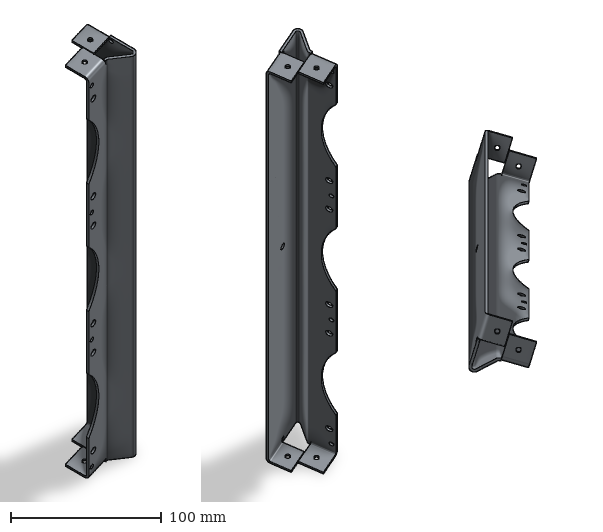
import cadquery as cq
import math

width = 41.0
depth = 38.5
length = 431.5
sheet = 2.0
inner_bend = 1.7
outer_bend = inner_bend + sheet

side_outer_x = 28.5
side_inner_x = side_outer_x - sheet

back_flange_width = 18.0
back_flange_front_y = 19.5
side_flange_left_x = 9.0
side_flange_width = 19.0
bend_height = 2 * outer_bend

flange_hole_diameter = 3.5
back_flange_hole = (9.5, 27.0)
side_flange_hole = (17.5, 10.0)
relief_diameter = 3.32
relief_end_distance = 3.5
back_hole_diameter = 4.7
back_hole_x = 19.5
mount_hole_diameter = 5.0
mount_hole_y = 5.0
mount_hole_offset = 52.5
small_hole_diameter = 3.5
small_hole_y = 3.5
small_hole_pitch = 137.0

scallop_pitch = 137.0
scallop_chord = 69.0
scallop_depth = 11.2


def block(x0, x1, y0, y1, z0, z1):
    """Axis-aligned box between two opposite corners."""
    return cq.Workplane("XY").box(x1 - x0, y1 - y0, z1 - z0, centered=False).translate((x0, y0, z0))


def x_cutter(y, z, diameter):
    """Cylinder along X that passes through the side wall."""
    return cq.Workplane("YZ").center(y, z).circle(diameter / 2).extrude(width)


def back_wall_cutter(x, z, diameter):
    """Cylinder along Y that passes through the back wall only."""
    plane = cq.Workplane("XZ", origin=(0, depth, 0))
    return plane.center(x, z).circle(diameter / 2).extrude(2 * sheet)


def folded_channel():
    """Back wall, 45 degree web and side wall, with rounded bends."""
    web_outer = width - depth + outer_bend * math.sqrt(2)
    web_inner = web_outer - sheet * math.sqrt(2)
    back_inner_y = depth - sheet
    outer_apex = (depth + web_outer, depth)
    inner_apex = (back_inner_y + web_inner, back_inner_y)
    outer_elbow = (side_outer_x, side_outer_x - web_outer)
    inner_elbow = (side_inner_x, side_inner_x - web_inner)
    channel = (
        cq.Workplane("XY")
        .polyline([
            (0, depth), outer_apex, outer_elbow, (side_outer_x, 0),
            (side_inner_x, 0), inner_elbow, inner_apex, (0, back_inner_y),
        ])
        .close()
        .extrude(length)
    )
    middle = length / 2
    for corner, radius in (
        (outer_apex, outer_bend),
        (inner_apex, inner_bend),
        (outer_elbow, inner_bend),
        (inner_elbow, outer_bend),
    ):
        edge = cq.selectors.NearestToPointSelector((*corner, middle))
        channel = channel.edges("|Z").edges(edge).fillet(radius)
    return channel


def back_flange():
    """Bent flange at the top of the back wall."""
    z0 = length - bend_height
    flange = block(0, back_flange_width, back_flange_front_y, depth, z0, length)
    flange = flange.edges(">Y and >Z").fillet(outer_bend)
    hollow = block(0, back_flange_width, 0, depth - sheet, z0 - sheet, length - sheet)
    hollow = hollow.edges(">Y and >Z").fillet(inner_bend)
    hole = cq.Workplane("XY").center(*back_flange_hole).circle(flange_hole_diameter / 2).extrude(length)
    return flange.cut(hollow).cut(hole)


def side_flange():
    """Bent flange at the top of the side wall."""
    z0 = length - bend_height
    flange = block(side_flange_left_x, side_outer_x, 0, side_flange_width, z0, length)
    flange = flange.edges(">X and >Z").fillet(outer_bend)
    hollow = block(0, side_inner_x, 0, side_flange_width, z0 - sheet, length - sheet)
    hollow = hollow.edges(">X and >Z").fillet(inner_bend)
    hole = cq.Workplane("XY").center(*side_flange_hole).circle(flange_hole_diameter / 2).extrude(length)
    return flange.cut(hollow).cut(hole)


def mirror_to_bottom(top_end):
    """Copy of a top-end body at the bottom end."""
    return top_end.mirror("XY", (0, 0, length / 2))


def add_end_flanges(body):
    """Replace the straight wall ends by bent flanges at both ends."""
    z0 = length - bend_height
    back_end = block(0, back_flange_width, depth - sheet, depth, z0, length)
    side_end = block(side_inner_x, side_outer_x, 0, side_flange_width, z0, length)
    for wall_end, flange in ((back_end, back_flange()), (side_end, side_flange())):
        body = body.cut(wall_end).cut(mirror_to_bottom(wall_end))
        body = body.union(flange).union(mirror_to_bottom(flange))
    return body


def cut_back_wall_holes(body):
    """Central hole and a relief hole beside each back flange."""
    body = body.cut(back_wall_cutter(back_hole_x, length / 2, back_hole_diameter))
    relief_x = back_flange_width + relief_diameter / 2
    for z in (relief_end_distance, length - relief_end_distance):
        body = body.cut(back_wall_cutter(relief_x, z, relief_diameter))
    return body


def cut_side_wall(body):
    """Three scallops with flanking holes, and four small holes between them."""
    radius = ((scallop_chord / 2) ** 2 + scallop_depth ** 2) / (2 * scallop_depth)
    for step in (-1, 0, 1):
        z = length / 2 + step * scallop_pitch
        body = body.cut(x_cutter(scallop_depth - radius, z, 2 * radius))
        for side in (-1, 1):
            body = body.cut(x_cutter(mount_hole_y, z + side * mount_hole_offset, mount_hole_diameter))
    for step in (-1.5, -0.5, 0.5, 1.5):
        z = length / 2 + step * small_hole_pitch
        body = body.cut(x_cutter(small_hole_y, z, small_hole_diameter))
    return body


result = cut_side_wall(cut_back_wall_holes(add_end_flanges(folded_channel())))